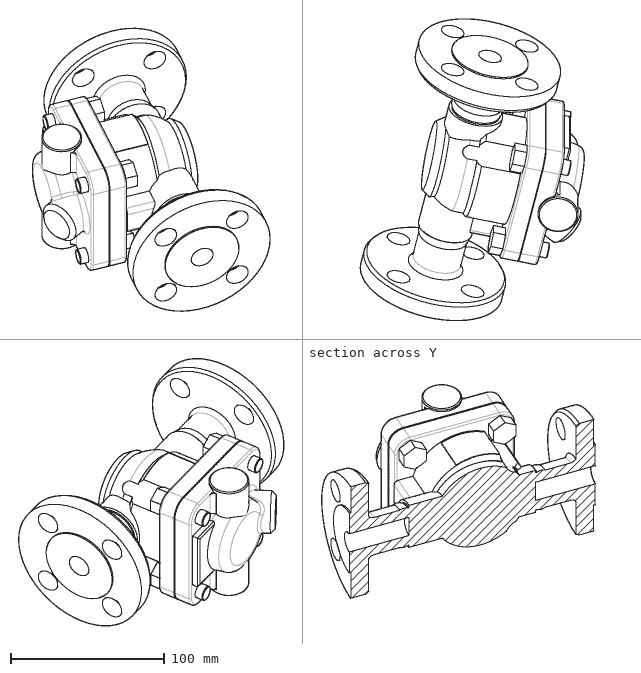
import cadquery as cq
import math

face_to_face = 175.0
pipe_radius = 16.0
bead_radius = 16.8
bead_start, bead_end = 46.0, 51.6
hub_radius = 18.0
hub_half_length = 45.0
bore_diameter = 15.0
bore_depth = 42.5

flange_radius = 47.5
flange_thickness = 14.0
raised_face_radius = 25.5
raised_face_height = 1.1
flange_bevel_length = 2.4
flange_bevel_height = 1.5
flange_root_length = 3.7
flange_root_height = 2.2
flange_hole_circle = 70.0
flange_hole_diameter = 15.0

body_x = -6.0
lower_body_x = -7.0
body_top_y = 22.3
body_top_radius = 22.9
lip_radius = 26.5
lip_y = 17.0
neck_radius = 25.6
neck_y = 14.0
barrel_radius = 32.7
barrel_y = 1.0
barrel_bulge = 1.0
shoulder_y = -5.5
lower_body_radius = 35.5
lower_body_y = -8.8
outlet_end_x = 40.4
outlet_half_width = 10.0
outlet_corner = 3.0
label_height = 0.4
label_right_x = 7.5
label_left_x = -24.0
label_front_y = -33.7

plate_x = -3.0
plate_size = 85.0
plate_corner = 10.7
body_flange_y = -34.8
seam_y = -46.6
cover_y = -59.3
gasket_thickness = 0.4
gasket_inset = 0.5
plate_edge = 1.3
bolt_circle = 90.0
bolt_offset = bolt_circle / 2 * math.sqrt(0.5)
bolt_diameter = 10.0
bolt_end_y = -65.0
bolt_chamfer = 0.5
hex_across_flats = 16.0
hex_sides = 6
hex_height = 8.0
scallop_radius = 11.5
scallop_end_fillet = 8.0
scallop_y = 12.0

dome_end_y = -76.8
dome_base_radius = 27.5
dome_shoulder_radius = 25.3
dome_shoulder_y = -72.0
dome_flat_radius = 18.8
crossbar_radius = 13.0
crossbar_y = dome_end_y + crossbar_radius
crossbar_half_length = 44.5
crossbar_edge = 0.8
crossbar_root = 3.0
pad_left_x = -43.0
pad_half_width = 20.9
pad_y = -64.2
pad_edge = 1.2
plug_angle = 30.0
plug_end_x, plug_end_y = 26.9, -79.04
plug_radius = 14.0
plug_face_radius = 11.0
plug_bevel_length = 3.0
plug_length = 23.0
blend_radius = 2.5


def plane_at(x, y):
    """Plane normal to -Y: local x is X, local y is Z, extrusion runs toward -Y."""
    return cq.Workplane("XZ", origin=(x, y, 0))


def pipe_end():
    """Hub, weld bead, pipe and flange on the +X side, with bolt holes."""
    end_x = face_to_face / 2
    front_x = end_x - raised_face_height
    back_x = end_x - flange_thickness
    bead_middle = (bead_start + bead_end) / 2
    body = (
        cq.Workplane("XY")
        .moveTo(0, 0)
        .lineTo(0, hub_radius)
        .lineTo(hub_half_length, hub_radius)
        .lineTo(hub_half_length, pipe_radius)
        .lineTo(bead_start, pipe_radius)
        .threePointArc((bead_middle, bead_radius), (bead_end, pipe_radius))
        .lineTo(back_x - flange_root_length, pipe_radius)
        .tangentArcPoint((back_x, pipe_radius + flange_root_height), relative=False)
        .lineTo(back_x, flange_radius - flange_bevel_height)
        .lineTo(back_x + flange_bevel_length, flange_radius)
        .lineTo(front_x, flange_radius)
        .lineTo(front_x, raised_face_radius)
        .lineTo(end_x, raised_face_radius)
        .lineTo(end_x, 0)
        .close()
        .revolve(360, (0, 0, 0), (1, 0, 0))
    )
    hole_pitch = flange_hole_circle * math.sqrt(0.5)
    holes = (
        cq.Workplane("YZ", origin=(back_x, 0, 0))
        .rect(hole_pitch, hole_pitch, forConstruction=True)
        .vertices()
        .circle(flange_hole_diameter / 2)
        .extrude(flange_thickness)
    )
    return body.cut(holes)


def bore():
    """Blind bore entering the +X flange face."""
    return (
        cq.Workplane("YZ", origin=(face_to_face / 2, 0, 0))
        .circle(bore_diameter / 2)
        .extrude(-bore_depth)
    )


def upper_body():
    """Turned upper barrel with its lip and neck."""
    barrel_middle_radius = (barrel_radius + neck_radius) / 2 + barrel_bulge
    return (
        cq.Workplane("XY", origin=(body_x, 0, 0))
        .moveTo(0, body_flange_y)
        .lineTo(barrel_radius, body_flange_y)
        .lineTo(barrel_radius, barrel_y)
        .threePointArc((barrel_middle_radius, (barrel_y + neck_y) / 2), (neck_radius, neck_y))
        .lineTo(lip_radius, lip_y)
        .lineTo(body_top_radius, body_top_y)
        .lineTo(0, body_top_y)
        .close()
        .revolve(360, (0, 0, 0), (0, 1, 0))
    )


def lower_body():
    """Wider lower barrel with a conical shoulder."""
    return (
        cq.Workplane("XY", origin=(lower_body_x, 0, 0))
        .moveTo(0, body_flange_y)
        .lineTo(lower_body_radius, body_flange_y)
        .lineTo(lower_body_radius, lower_body_y)
        .lineTo(barrel_radius, shoulder_y)
        .lineTo(0, shoulder_y)
        .close()
        .revolve(360, (0, 0, 0), (0, 1, 0))
    )


def label_panel():
    """Slightly raised panel on top of the lower barrel."""
    ring = (
        plane_at(lower_body_x, lower_body_y)
        .circle(lower_body_radius + label_height)
        .extrude(lower_body_y - label_front_y)
    )
    window = (
        plane_at(0, lower_body_y)
        .moveTo(label_left_x, 0)
        .lineTo(label_right_x, 0)
        .lineTo(label_right_x, 2 * lower_body_radius)
        .lineTo(label_left_x, 2 * lower_body_radius)
        .close()
        .extrude(lower_body_y - label_front_y)
    )
    return ring.intersect(window)


def scallops():
    """Round-ended clearance around each bolt axis, cut into the body."""
    return (
        bolt_positions(scallop_y)
        .circle(scallop_radius)
        .extrude(scallop_y - body_flange_y)
        .faces(">Y")
        .edges()
        .fillet(scallop_end_fillet)
    )


def outlet_passage():
    """Rounded rib joining the outlet hub to the body flange."""
    return (
        plane_at(outlet_end_x / 2, 0)
        .rect(outlet_end_x, 2 * outlet_half_width)
        .extrude(-body_flange_y)
        .edges(">X and |Y")
        .fillet(outlet_corner)
    )


def bolt_positions(y):
    """The four bolt centres, on a plane at the given y."""
    return plane_at(plate_x, y).rect(2 * bolt_offset, 2 * bolt_offset, forConstruction=True).vertices()


def plate(back_y, front_y):
    """Square plate with rounded corners."""
    return (
        plane_at(plate_x, back_y)
        .rect(plate_size, plate_size)
        .extrude(back_y - front_y)
        .edges("|Y")
        .fillet(plate_corner)
    )


def gasket_groove():
    """Shallow groove around the joint, leaving the gasket slightly inset."""
    gasket_size = plate_size - 2 * gasket_inset
    outside = plane_at(plate_x, seam_y).rect(2 * plate_size, 2 * plate_size).extrude(gasket_thickness)
    inside = (
        plane_at(plate_x, seam_y)
        .rect(gasket_size, gasket_size)
        .extrude(gasket_thickness)
        .edges("|Y")
        .fillet(plate_corner - gasket_inset)
    )
    return outside.cut(inside)


def bolts():
    """Hexagons behind the body flange and round ends in front of the cover."""
    hex_across_corners = hex_across_flats / math.cos(math.pi / hex_sides)
    heads = (
        bolt_positions(body_flange_y + hex_height)
        .sketch()
        .regularPolygon(hex_across_corners / 2, hex_sides)
        .finalize()
        .extrude(hex_height)
    )
    shanks = (
        bolt_positions(seam_y)
        .circle(bolt_diameter / 2)
        .extrude(seam_y - bolt_end_y)
        .faces("<Y")
        .chamfer(bolt_chamfer)
    )
    return heads, shanks


def dome():
    """Tapered round dome with a flat front."""
    return (
        cq.Workplane("XY", origin=(body_x, 0, 0))
        .moveTo(0, seam_y)
        .lineTo(dome_base_radius, seam_y)
        .lineTo(dome_base_radius, cover_y)
        .lineTo(dome_shoulder_radius, dome_shoulder_y)
        .tangentArcPoint((dome_flat_radius, dome_end_y), relative=False)
        .lineTo(0, dome_end_y)
        .close()
        .revolve(360, (0, 0, 0), (0, 1, 0))
    )


def crossbar():
    """Vertical cylinder with concave roots blending it into the cover face."""
    bar = (
        cq.Workplane("XY", origin=(body_x, crossbar_y, -crossbar_half_length))
        .circle(crossbar_radius)
        .extrude(2 * crossbar_half_length)
        .faces("<Z or >Z")
        .chamfer(crossbar_edge)
    )
    root_back_y = cover_y + crossbar_root
    root_top_y = cover_y - crossbar_root
    root_half_width = crossbar_radius + crossbar_root
    middle_x = root_half_width - crossbar_root * math.sqrt(0.5)
    middle_y = root_top_y + crossbar_root * math.sqrt(0.5)
    root_half_length = plate_size / 2 - plate_edge
    roots = (
        cq.Workplane("XY", origin=(body_x, 0, -root_half_length))
        .moveTo(-root_half_width, cover_y)
        .threePointArc((-middle_x, middle_y), (-crossbar_radius, root_top_y))
        .lineTo(crossbar_radius, root_top_y)
        .threePointArc((middle_x, middle_y), (root_half_width, cover_y))
        .lineTo(root_half_width, root_back_y)
        .lineTo(-root_half_width, root_back_y)
        .close()
        .extrude(2 * root_half_length)
    )
    return bar.union(roots)


def pad():
    """Rectangular pad between the cover edge and the dome."""
    return (
        cq.Workplane("XY")
        .box(body_x - pad_left_x, seam_y - pad_y, 2 * pad_half_width, centered=(False, False, True))
        .translate((pad_left_x, pad_y, 0))
        .faces("<Y")
        .edges("<X or >Z or <Z")
        .chamfer(pad_edge)
    )


def plug():
    """Round plug slanted toward +X, with a bevelled face."""
    slant = math.radians(plug_angle)
    direction = (math.sin(slant), -math.cos(slant), 0)
    plane = cq.Plane(origin=(plug_end_x, plug_end_y, 0), xDir=(0, 0, 1), normal=direction)
    return (
        cq.Workplane(plane)
        .circle(plug_radius)
        .extrude(-plug_length)
        .faces(cq.selectors.DirectionMinMaxSelector(cq.Vector(*direction), True))
        .chamfer(plug_bevel_length, plug_radius - plug_face_radius)
    )


def blended_cover():
    """Cover plate with dome and slanted plug, filleted where the three meet."""
    cover_plate = plate(seam_y, cover_y).faces("<Y").edges().fillet(plate_edge)
    reach = plate_size / 2 - plate_corner
    dome_plug_edges = cq.selectors.StringSyntaxSelector("%BSPLINE or %ELLIPSE")
    base_edges = cq.selectors.BoxSelector(
        (-reach, cover_y - plate_edge, -reach),
        (reach, cover_y + plate_edge, reach),
    )
    return cover_plate.union(dome()).union(plug()).edges(dome_plug_edges + base_edges).fillet(blend_radius)


right_end = pipe_end()
heads, shanks = bolts()
body_flange = plate(body_flange_y, seam_y).faces(">Y").edges().fillet(plate_edge)
cover = blended_cover().union(crossbar()).union(pad()).cut(gasket_groove())
result = upper_body().union(lower_body()).union(label_panel()).cut(scallops())
result = result.union(right_end).union(right_end.mirror("YZ")).union(outlet_passage())
result = result.union(body_flange).union(cover).union(heads).union(shanks)
result = result.cut(bore()).cut(bore().mirror("YZ"))